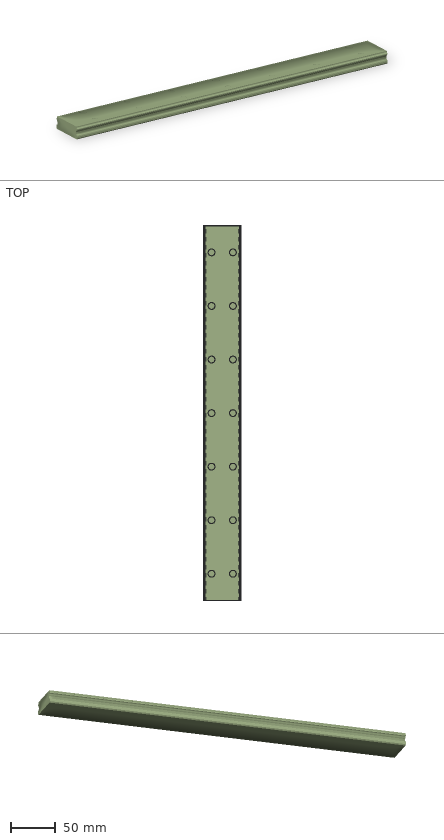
import cadquery as cq

length = 420.0
width = 42.0
height = 15.0

bottom_chamfer = 1.3
rim_inset = 0.5
rim_land_top = 3.5
rim_top = 4.5
groove_depth = 2.5
groove_fillet = groove_depth - rim_inset
groove_floor_top = 8.5
lip_bottom = 11.5
lip_top = 12.5
raceway_size = 1.5
raceway_sag = 0.25

holes_per_row = 7
row_spacing = 24.0
hole_pitch = length / holes_per_row
hole_diameter = 7.5
recess_depth = 0.2


def rail_body():
    """Rail with a groove along each side and concave ball raceways above and below its upper lip."""
    outer_x = width / 2
    groove_x = outer_x - groove_depth
    raceway_x = outer_x - raceway_size
    raceway_mid_x = outer_x - raceway_size / 2 - raceway_sag
    upper_end = lip_top + raceway_size
    upper_mid = lip_top + raceway_size / 2 - raceway_sag
    lower_end = lip_bottom - raceway_size
    lower_mid = lip_bottom - raceway_size / 2 + raceway_sag
    half_section = (
        cq.Workplane("XZ")
        .moveTo(0, 0)
        .lineTo(outer_x - bottom_chamfer, 0)
        .lineTo(outer_x, bottom_chamfer)
        .lineTo(outer_x, rim_land_top)
        .lineTo(outer_x - rim_inset, rim_top)
        .radiusArc((groove_x, rim_top + groove_fillet), groove_fillet)
        .lineTo(groove_x, groove_floor_top)
        .lineTo(raceway_x, lower_end)
        .threePointArc((raceway_mid_x, lower_mid), (outer_x, lip_bottom))
        .lineTo(outer_x, lip_top)
        .threePointArc((raceway_mid_x, upper_mid), (raceway_x, upper_end))
        .lineTo(raceway_x, height)
        .lineTo(0, height)
        .close()
    )
    half_rail = half_section.extrude(length / 2, both=True)
    return half_rail.union(half_rail.mirror("YZ"))


def hole_recesses():
    """Shallow round recesses in the top face, one over each capped mounting hole."""
    return (
        cq.Workplane("XY")
        .workplane(offset=height - recess_depth)
        .rarray(row_spacing, hole_pitch, 2, holes_per_row)
        .circle(hole_diameter / 2)
        .extrude(recess_depth)
    )


result = rail_body().cut(hole_recesses())